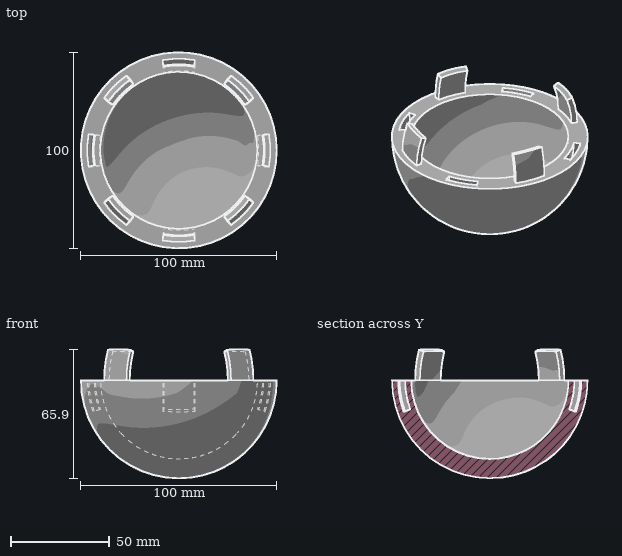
import cadquery as cq
import math

outer_radius = 50.0
wall = 10.0
inner_radius = outer_radius - wall

slot_inner_radius = 43.3
slot_outer_radius = 46.7
slot_half_angle = 10.2
sweep_angle = 20.0

clearance = 0.2
tab_inner_radius = slot_inner_radius + clearance
tab_outer_radius = slot_outer_radius - clearance
tab_half_angle = 10.0

pair_count = 4
pair_spacing = 360.0 / pair_count
first_tab_angle = pair_spacing / 2


def polar_point(radius, angle):
    """Point in the rim plane at an angle in degrees from +X."""
    return radius * math.cos(math.radians(angle)), radius * math.sin(math.radians(angle))


def curved_block(inner, outer, half_angle, sweep):
    """Ring sector centred on +X, revolved about Y: a positive sweep rises above the rim."""
    sector = (
        cq.Workplane("XY")
        .moveTo(*polar_point(inner, -half_angle))
        .lineTo(*polar_point(outer, -half_angle))
        .threePointArc((outer, 0), polar_point(outer, half_angle))
        .lineTo(*polar_point(inner, half_angle))
        .threePointArc((inner, 0), polar_point(inner, -half_angle))
        .close()
    )
    axis_end = (0, -1, 0) if sweep > 0 else (0, 1, 0)
    return sector.revolve(abs(sweep), (0, 0, 0), axis_end)


def make_bowl():
    """Half shell below the rim plane, turned about Z."""
    diagonal = math.sqrt(0.5)
    return (
        cq.Workplane("XZ")
        .moveTo(inner_radius, 0)
        .lineTo(outer_radius, 0)
        .threePointArc((outer_radius * diagonal, -outer_radius * diagonal), (0, -outer_radius))
        .lineTo(0, -inner_radius)
        .threePointArc((inner_radius * diagonal, -inner_radius * diagonal), (inner_radius, 0))
        .close()
        .revolve(360, (0, 0, 0), (0, 1, 0))
    )


slot = curved_block(slot_inner_radius, slot_outer_radius, slot_half_angle, -sweep_angle)
tab = curved_block(tab_inner_radius, tab_outer_radius, tab_half_angle, sweep_angle)

result = make_bowl()
for index in range(pair_count):
    slot_angle = index * pair_spacing
    tab_angle = first_tab_angle + slot_angle
    result = result.cut(slot.rotate((0, 0, 0), (0, 0, 1), slot_angle))
    result = result.union(tab.rotate((0, 0, 0), (0, 0, 1), tab_angle))